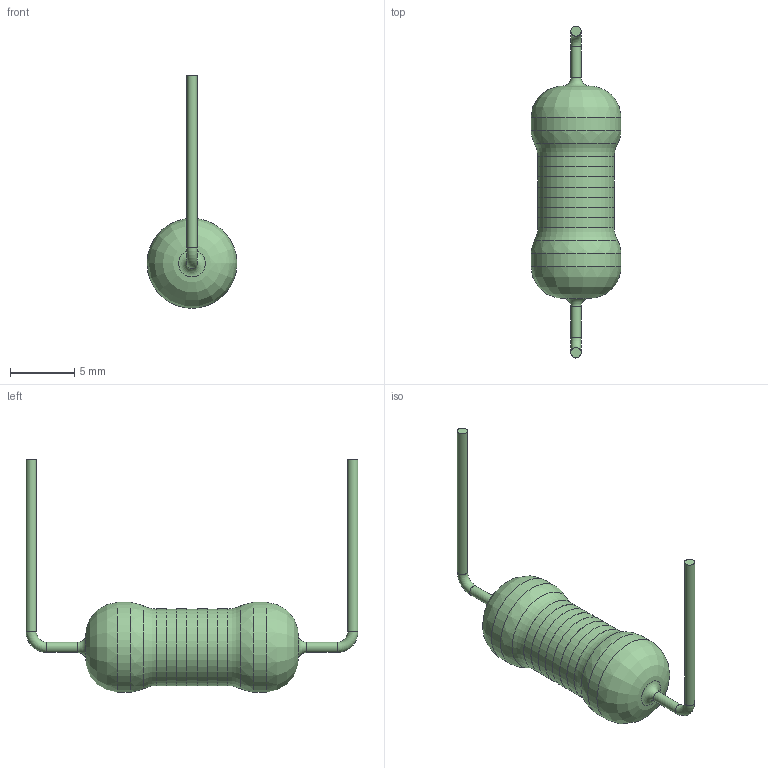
import cadquery as cq
import math


lead_diameter = 0.8
lead_spacing = 25.0
lead_top = 14.6
bend_radius = 1.2

body_length = 16.5
cap_diameter = 7.0
dome_radius = 2.45
cap_land_length = 1.0
waist_diameter = 5.95

band_diameter = 5.97
band_count = 4
stripe_width = 0.79

lead_radius = lead_diameter / 2
cap_radius = cap_diameter / 2
waist_radius = waist_diameter / 2
band_radius = band_diameter / 2
body_end = body_length / 2
end_face_radius = cap_radius - dome_radius
meniscus_radius = end_face_radius - lead_radius
meniscus_end = body_end + meniscus_radius
dome_start = body_end - dome_radius
shoulder_start = dome_start - cap_land_length
stripe_count = 2 * band_count - 1
waist_end = stripe_count * stripe_width / 2
shoulder_middle = (shoulder_start + waist_end) / 2
shoulder_middle_radius = (cap_radius + waist_radius) / 2
arc_diagonal = math.sqrt(0.5)


def make_cap():
    """Body end on +Y: S-shaped shoulder, domed cap and flared lead exit."""
    foot_length = shoulder_middle - waist_end
    foot_rise = shoulder_middle_radius - waist_radius
    foot_arc_radius = (foot_length**2 + foot_rise**2) / (2 * foot_rise)
    half_foot_angle = math.asin(foot_length / foot_arc_radius) / 2
    shoulder_foot_middle = (
        waist_radius + foot_arc_radius * (1 - math.cos(half_foot_angle)),
        waist_end + foot_arc_radius * math.sin(half_foot_angle),
    )
    dome_middle = (
        end_face_radius + dome_radius * arc_diagonal,
        dome_start + dome_radius * arc_diagonal,
    )
    meniscus_middle = (
        end_face_radius - meniscus_radius * arc_diagonal,
        meniscus_end - meniscus_radius * arc_diagonal,
    )
    return (
        cq.Workplane("XY")
        .moveTo(0, waist_end)
        .lineTo(waist_radius, waist_end)
        .threePointArc(shoulder_foot_middle, (shoulder_middle_radius, shoulder_middle))
        .tangentArcPoint((cap_radius, shoulder_start), relative=False)
        .lineTo(cap_radius, dome_start)
        .threePointArc(dome_middle, (end_face_radius, body_end))
        .threePointArc(meniscus_middle, (lead_radius, meniscus_end))
        .lineTo(0, meniscus_end)
        .close()
        .revolve(360, (0, 0), (0, 1))
    )


def make_cylinder(radius, start, length):
    """Cylinder on the body axis, beginning at the given Y and running toward +Y."""
    return cq.Workplane("XZ", origin=(0, start, 0)).circle(radius).extrude(-length)


def make_lead():
    """Lead on +Y: straight out of the body, bent a quarter turn, then up."""
    lead_y = lead_spacing / 2
    bend_start = lead_y - bend_radius
    bend_middle = (
        bend_start + bend_radius * arc_diagonal,
        bend_radius - bend_radius * arc_diagonal,
    )
    path = (
        cq.Workplane("YZ")
        .moveTo(meniscus_end, 0)
        .lineTo(bend_start, 0)
        .threePointArc(bend_middle, (lead_y, bend_radius))
        .lineTo(lead_y, lead_top)
    )
    return cq.Workplane("XZ", origin=(0, meniscus_end, 0)).circle(lead_radius).sweep(path)


resistor_end = make_cap().union(make_lead())
waist = make_cylinder(waist_radius, -waist_end, 2 * waist_end)
result = waist.union(resistor_end).union(resistor_end.mirror("XZ"))

for band_index in range(band_count):
    band_start = -waist_end + 2 * band_index * stripe_width
    result = result.union(make_cylinder(band_radius, band_start, stripe_width))